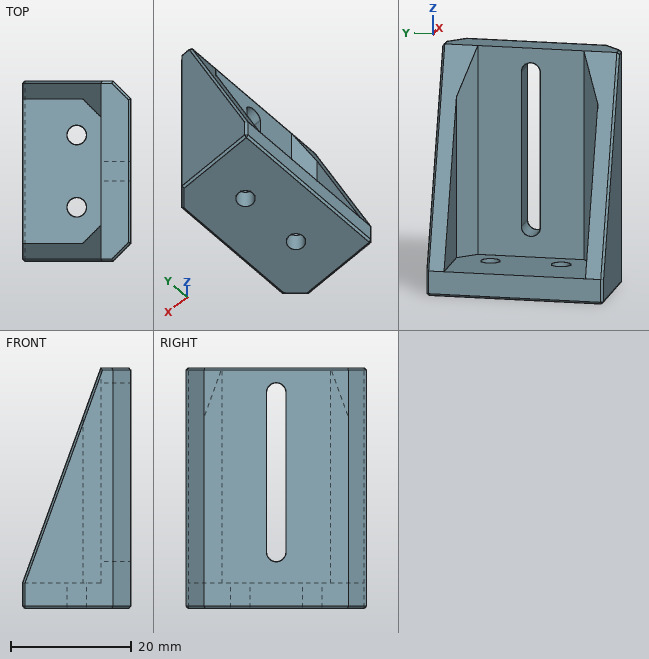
import cadquery as cq
import math

depth = 18.0
width = 30.0
height = 40.0

plate_thickness = 5.0
slope_angle = 20.0
back_corner_chamfer = 3.0
edge_chamfer = 0.4

gusset_thickness = 3.0
pocket_corner_chamfer = 3.0

hole_diameter = 3.2
hole_spacing = 12.0
slot_width = 3.2
slot_bottom = 7.8
slot_top = 37.5

plate_front = depth - plate_thickness
base_thickness = height - plate_front / math.tan(math.radians(slope_angle))
pocket_width = width - 2 * gusset_thickness
slot_length = slot_top - slot_bottom
slot_middle = (slot_top + slot_bottom) / 2


def make_body():
    """Wedge-shaped block with beveled back corners and chamfered outer edges."""
    body = (
        cq.Workplane("XZ")
        .moveTo(0, 0)
        .lineTo(depth, 0)
        .lineTo(depth, height)
        .lineTo(plate_front, height)
        .lineTo(0, base_thickness)
        .close()
        .extrude(width / 2, both=True)
    )
    body = body.edges("|Z and >X").chamfer(back_corner_chamfer)
    outer_edges = "(not (|Z or |Y)) or (|Y and (>X or <Z)) or (|Z and <X)"
    return body.edges(outer_edges).chamfer(edge_chamfer)


def make_pocket():
    """Space above the base and in front of the plate, with beveled inner corners."""
    return (
        cq.Workplane("XY", origin=(0, 0, base_thickness))
        .rect(2 * plate_front, pocket_width)
        .extrude(height)
        .edges("|Z and >X")
        .chamfer(pocket_corner_chamfer)
    )


def make_base_holes():
    """Pair of vertical screw holes, centered along the depth of the base."""
    return (
        cq.Workplane("XY")
        .pushPoints([(depth / 2, -hole_spacing / 2), (depth / 2, hole_spacing / 2)])
        .circle(hole_diameter / 2)
        .extrude(height)
    )


def make_plate_slot():
    """Upright slot with round ends that passes through the back plate."""
    return (
        cq.Workplane("YZ")
        .center(0, slot_middle)
        .slot2D(slot_length, slot_width, 90)
        .extrude(depth)
    )


result = make_body().cut(make_pocket()).cut(make_base_holes()).cut(make_plate_slot())